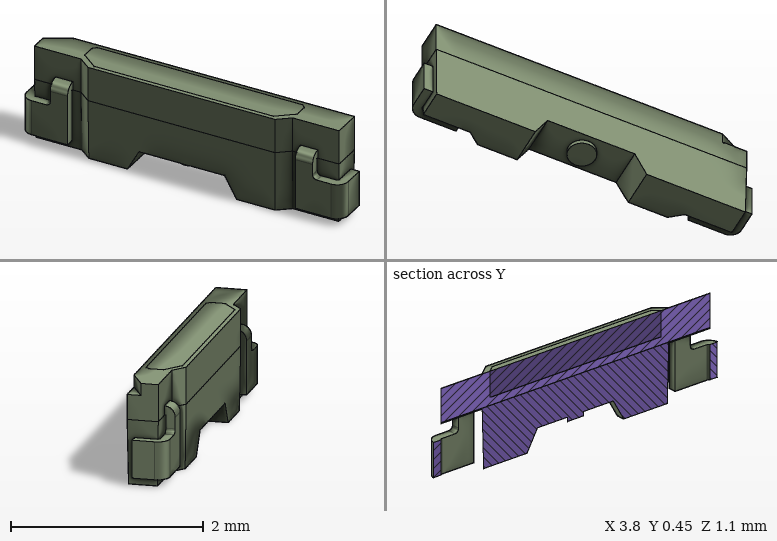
import cadquery as cq

TOTAL_LENGTH = 3.8
TOTAL_WIDTH = 0.45
TOTAL_HEIGHT = 1.1
FRONT_Y = -TOTAL_WIDTH / 2
BACK_Y = TOTAL_WIDTH / 2

SHEET = 0.1
BEND_RADIUS = 0.13
INNER_BEND_RADIUS = BEND_RADIUS - SHEET
FOOT_BOTTOM_Z = 0.1
FOOT_TOP_Z = 0.51
FOOT_BACK_Y = 0.145
TAB_OUTER_X = 1.55
TAB_INNER_X = 1.345
TAB_TOP_Z = 0.8
TAB_BEND_RADIUS = 0.115
TAB_CORNER_RADIUS = 0.05

BODY_HALF_LENGTH = TOTAL_LENGTH / 2 - SHEET
RECESSED_FRONT_Y = -0.11
SLOPE_OUTER_X = 1.25
SLOPE_INNER_X = 1.105
PARTING_Z = 0.7
DRAFT_ANGLE = 1.0

NOTCH_HEIGHT = 0.25
NOTCH_ROOF_HALF = 0.505
NOTCH_MOUTH_HALF = 0.645
GATE_RADIUS = 0.155
GATE_HEIGHT = 0.05

MARK_LENGTH = 0.28
MARK_WIDTH = 0.15
MARK_DEPTH = 0.13

WINDOW_HALF_LENGTH = 1.255
WINDOW_BACK_Y = 0.175
WINDOW_FRONT_Y = -0.175
WINDOW_SLOPE_TOP_Y = -0.02
WINDOW_SLOPE_INNER_X = 1.06
WINDOW_CORNER = 0.04
WINDOW_DEPTH = TOTAL_HEIGHT - TAB_TOP_Z


def body_outline(z):
    """Plan outline of the cover and base, drawn at height z."""
    return (
        cq.Workplane("XY", origin=(0, 0, z))
        .moveTo(-BODY_HALF_LENGTH, BACK_Y)
        .lineTo(-BODY_HALF_LENGTH, RECESSED_FRONT_Y)
        .lineTo(-SLOPE_OUTER_X, RECESSED_FRONT_Y)
        .lineTo(-SLOPE_INNER_X, FRONT_Y)
        .lineTo(SLOPE_INNER_X, FRONT_Y)
        .lineTo(SLOPE_OUTER_X, RECESSED_FRONT_Y)
        .lineTo(BODY_HALF_LENGTH, RECESSED_FRONT_Y)
        .lineTo(BODY_HALF_LENGTH, BACK_Y)
        .close()
    )


def make_window():
    """Flush window with sloped front corners and small chamfers at the back."""
    return (
        cq.Workplane("XY", origin=(0, 0, TOTAL_HEIGHT))
        .moveTo(-WINDOW_HALF_LENGTH, WINDOW_BACK_Y)
        .lineTo(-WINDOW_HALF_LENGTH, WINDOW_SLOPE_TOP_Y)
        .lineTo(-WINDOW_SLOPE_INNER_X, WINDOW_FRONT_Y)
        .lineTo(WINDOW_SLOPE_INNER_X, WINDOW_FRONT_Y)
        .lineTo(WINDOW_HALF_LENGTH, WINDOW_SLOPE_TOP_Y)
        .lineTo(WINDOW_HALF_LENGTH, WINDOW_BACK_Y)
        .close()
        .extrude(-WINDOW_DEPTH)
        .edges("|Z and >Y")
        .chamfer(WINDOW_CORNER)
    )


def make_cover(window):
    """Straight-sided upper half with the window pocket and polarity mark."""
    mark = (
        cq.Workplane("XY", origin=(0, 0, TOTAL_HEIGHT))
        .moveTo(-BODY_HALF_LENGTH, BACK_Y)
        .lineTo(-BODY_HALF_LENGTH, BACK_Y - MARK_WIDTH)
        .lineTo(-BODY_HALF_LENGTH + MARK_LENGTH, BACK_Y)
        .close()
        .extrude(-MARK_DEPTH)
    )
    return body_outline(PARTING_Z).extrude(TOTAL_HEIGHT - PARTING_Z).cut(mark).cut(window)


def make_base():
    """Drafted lower half with a trapezoidal notch and a round gate stub."""
    notch = (
        cq.Workplane("XZ")
        .moveTo(-NOTCH_MOUTH_HALF, 0)
        .lineTo(-NOTCH_ROOF_HALF, NOTCH_HEIGHT)
        .lineTo(NOTCH_ROOF_HALF, NOTCH_HEIGHT)
        .lineTo(NOTCH_MOUTH_HALF, 0)
        .close()
        .extrude(TOTAL_WIDTH, both=True)
    )
    gate = (
        cq.Workplane("XY", origin=(0, 0, NOTCH_HEIGHT))
        .circle(GATE_RADIUS)
        .extrude(-GATE_HEIGHT)
    )
    return body_outline(PARTING_Z).extrude(-PARTING_Z, taper=DRAFT_ANGLE).cut(notch).union(gate)


def make_left_terminal():
    """Foot wrapped around the body end, with a tab bent back to the body front."""
    end_x = -TOTAL_LENGTH / 2
    inner_x = end_x + SHEET
    inner_y = FRONT_Y + SHEET

    foot = (
        cq.Workplane("XY", origin=(0, 0, FOOT_BOTTOM_Z))
        .moveTo(end_x, FOOT_BACK_Y)
        .lineTo(end_x, FRONT_Y + BEND_RADIUS)
        .radiusArc((end_x + BEND_RADIUS, FRONT_Y), -BEND_RADIUS)
        .lineTo(-TAB_INNER_X, FRONT_Y)
        .lineTo(-TAB_INNER_X, inner_y)
        .lineTo(inner_x + INNER_BEND_RADIUS, inner_y)
        .radiusArc((inner_x, inner_y + INNER_BEND_RADIUS), INNER_BEND_RADIUS)
        .lineTo(inner_x, FOOT_BACK_Y)
        .close()
        .extrude(FOOT_TOP_Z - FOOT_BOTTOM_Z)
    )

    bend_y = FRONT_Y + TAB_BEND_RADIUS
    lead_bottom_z = TAB_TOP_Z - SHEET
    tab = (
        cq.Workplane("YZ", origin=(-TAB_OUTER_X, 0, 0))
        .moveTo(FRONT_Y, FOOT_BOTTOM_Z)
        .lineTo(FRONT_Y, TAB_TOP_Z - TAB_BEND_RADIUS)
        .radiusArc((bend_y, TAB_TOP_Z), TAB_BEND_RADIUS)
        .lineTo(bend_y, lead_bottom_z)
        .lineTo(inner_y, lead_bottom_z)
        .lineTo(inner_y, FOOT_BOTTOM_Z)
        .close()
        .extrude(TAB_OUTER_X - TAB_INNER_X)
    )

    fillet_x = -TAB_OUTER_X - TAB_CORNER_RADIUS
    corner = (
        cq.Workplane("XZ", origin=(0, inner_y, 0))
        .moveTo(fillet_x, FOOT_TOP_Z)
        .radiusArc((-TAB_OUTER_X, FOOT_TOP_Z + TAB_CORNER_RADIUS), -TAB_CORNER_RADIUS)
        .lineTo(-TAB_OUTER_X, FOOT_TOP_Z)
        .close()
        .extrude(SHEET)
    )
    return foot.union(tab).union(corner)


window = make_window()
cover = make_cover(window)
base = make_base()
left_terminal = make_left_terminal()
terminals = [left_terminal, left_terminal.mirror("YZ")]

bodies = [cover, base, window, *terminals]
result = cq.Compound.makeCompound([body.solids().val() for body in bodies])